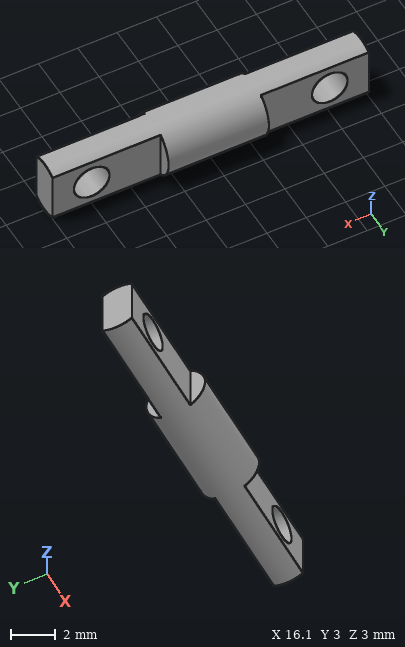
import cadquery as cq

length = 16.1
diameter = 3.0
collar_length = 5.1
tongue_thickness = 1.5
hole_diameter = 1.8
hole_spacing = 12.1

tongue_length = (length - collar_length) / 2
tongue_center = (collar_length + tongue_length) / 2
flat_depth = (diameter - tongue_thickness) / 2
flat_center = (tongue_thickness + flat_depth) / 2

pin = cq.Workplane("YZ").circle(diameter / 2).extrude(length / 2, both=True)

flat_cutter = cq.Workplane("XY").box(tongue_length, flat_depth, diameter)
for x_side in (-1, 1):
    for y_side in (-1, 1):
        pin = pin.cut(flat_cutter.translate((x_side * tongue_center, y_side * flat_center, 0)))

holes = (
    cq.Workplane("XZ")
    .pushPoints([(-hole_spacing / 2, 0), (hole_spacing / 2, 0)])
    .circle(hole_diameter / 2)
    .extrude(diameter / 2, both=True)
)

result = pin.cut(holes)